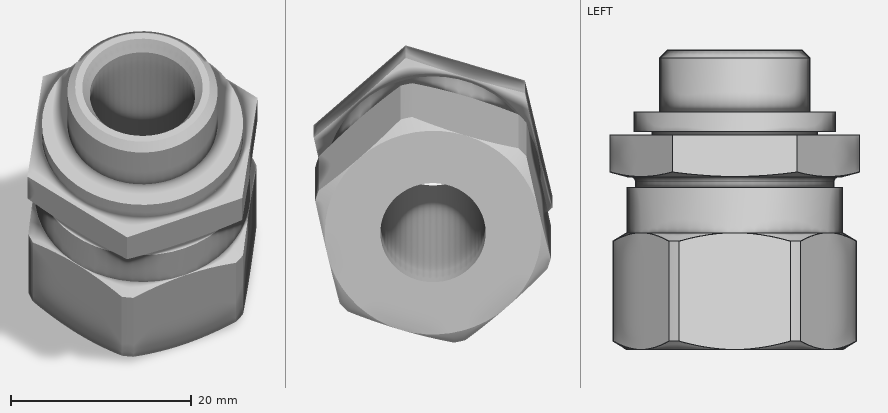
import cadquery as cq
import math

total_height = 33.2
across_flats = 24.0

nut_height = 12.95
nut_corner_diameter = 27.0
nut_chamfer_height = 0.93

sleeve_diameter = 23.9
sleeve_top = 18.0
groove_diameter = 22.0
neck_diameter = 18.33
washer_diameter = 22.3
washer_bottom = 24.17
washer_top = 26.35
spigot_diameter = 16.65
spigot_chamfer = 0.85

body_hex_bottom = 19.15
body_hex_top = 23.8
body_seat_diameter = 23.8
body_chamfer_height = 0.53
groove_fillet = 0.53

bore_diameter = 11.7
countersink_diameter = 13.35
countersink_half_angle = 30

across_corners = across_flats / math.cos(math.radians(30))


def cylinder(diameter, bottom, top):
    return cq.Workplane("XY").workplane(offset=bottom).circle(diameter / 2).extrude(top - bottom)


def hexagon(bottom, top):
    """Hexagonal prism with two flats facing +X and -X."""
    prism = cq.Workplane("XY").polygon(6, across_corners).extrude(top - bottom)
    return prism.rotate((0, 0, 0), (0, 0, 1), 30).translate((0, 0, bottom))


def revolve_profile(points):
    """Solid of revolution about Z from (radius, height) points."""
    return cq.Workplane("XZ").polyline(points).close().revolve(360, (0, 0, 0), (0, 1, 0))


def clamping_nut():
    end_radius = across_flats / 2
    corner_radius = nut_corner_diameter / 2
    envelope = revolve_profile([
        (0, 0),
        (end_radius, 0),
        (corner_radius, nut_chamfer_height),
        (corner_radius, nut_height - nut_chamfer_height),
        (end_radius, nut_height),
        (0, nut_height),
    ])
    return hexagon(0, nut_height).intersect(envelope)


def body_hexagon():
    corner_radius = across_corners / 2
    chamfer_top = body_hex_bottom + body_chamfer_height
    clearance = 0.33
    slope = body_chamfer_height / (corner_radius - body_seat_diameter / 2)
    envelope = revolve_profile([
        (0, body_hex_bottom),
        (body_seat_diameter / 2, body_hex_bottom),
        (corner_radius + clearance, chamfer_top + clearance * slope),
        (corner_radius + clearance, body_hex_top),
        (0, body_hex_top),
    ])
    return hexagon(body_hex_bottom, body_hex_top).intersect(envelope)


def filleted_groove():
    """Round core of the groove, flaring out under the body hexagon."""
    radius = groove_diameter / 2
    arc_middle = groove_fillet * (1 - math.sqrt(0.5))
    return (
        cq.Workplane("XZ")
        .moveTo(0, sleeve_top)
        .lineTo(radius, sleeve_top)
        .lineTo(radius, body_hex_bottom - groove_fillet)
        .threePointArc(
            (radius + arc_middle, body_hex_bottom - arc_middle),
            (radius + groove_fillet, body_hex_bottom),
        )
        .lineTo(0, body_hex_bottom)
        .close()
        .revolve(360, (0, 0, 0), (0, 1, 0))
    )


def spigot():
    post = cylinder(spigot_diameter, washer_top, total_height)
    return post.faces(">Z").edges().chamfer(spigot_chamfer)


def bore():
    """Through hole with a conical countersink at the top."""
    hole_radius = bore_diameter / 2
    mouth_radius = countersink_diameter / 2
    depth = (mouth_radius - hole_radius) / math.tan(math.radians(countersink_half_angle))
    return revolve_profile([
        (0, 0),
        (hole_radius, 0),
        (hole_radius, total_height - depth),
        (mouth_radius, total_height),
        (0, total_height),
    ])


result = (
    clamping_nut()
    .union(cylinder(sleeve_diameter, nut_height, sleeve_top))
    .union(filleted_groove())
    .union(body_hexagon())
    .union(cylinder(neck_diameter, body_hex_top, washer_bottom))
    .union(cylinder(washer_diameter, washer_bottom, washer_top))
    .union(spigot())
    .cut(bore())
)